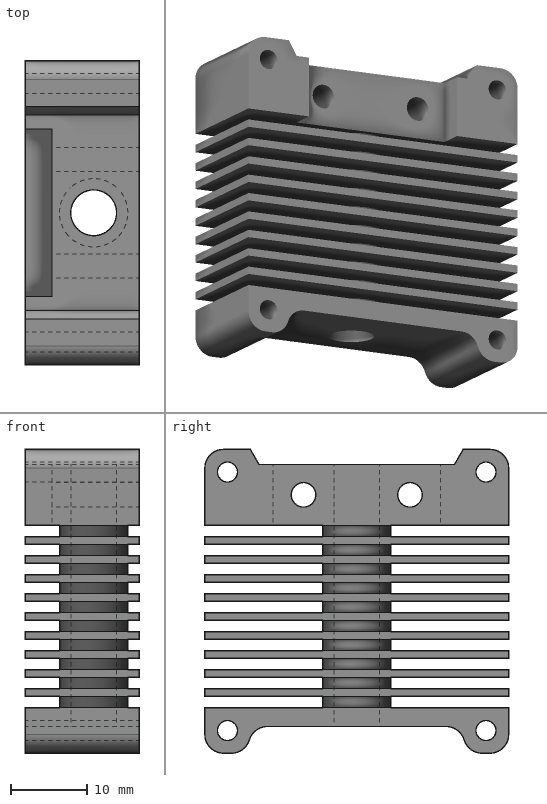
import cadquery as cq
import math

depth = 15.0
width = 40
height = 40

bottom_block_height = 6
top_block_height = 10
fin_count = 9
fin_thickness = 1.0

column_setback = 9.0
column_diameter = 9.0
bore_diameter = 6

corner_hole_inset = 3.0
corner_hole_diameter = 2.6

corner_diameter = 5.0

top_recess_depth = 2
top_lug_width = 6
lug_slope_angle = 60
pocket_width = 22
pocket_depth = 3.5
cross_hole_diameter = 3.2
cross_hole_spacing = 14
cross_hole_drop = 6

bottom_lug_width = 6
bottom_recess_height = 3.5

half_width = width / 2
column_x = column_setback - depth / 2
corner_radius = corner_diameter / 2
corner_diagonal = corner_radius * (1 - math.sqrt(0.5))
top_block_bottom = height - top_block_height
column_height = top_block_bottom - bottom_block_height
fin_gap = (column_height - fin_count * fin_thickness) / (fin_count + 1)
corner_hole_y = half_width - corner_hole_inset


def extrude_across_depth(profile):
    """Extrude a closed YZ profile symmetrically through the depth of the part."""
    return profile.extrude(depth / 2, both=True)


def holes_along_x(positions, diameter):
    """Cylinders running through the whole depth at the given (y, z) positions."""
    return extrude_across_depth(cq.Workplane("YZ").pushPoints(positions).circle(diameter / 2))


def make_top_block():
    """Block with two raised lugs, sloped on their inner sides, and a pocket in the -X face."""
    recess_z = height - top_recess_depth
    lug_inner_y = half_width - top_lug_width
    slope_foot_y = lug_inner_y - top_recess_depth / math.tan(math.radians(lug_slope_angle))
    half_profile = (
        cq.Workplane("YZ")
        .moveTo(0, top_block_bottom)
        .lineTo(half_width, top_block_bottom)
        .lineTo(half_width, height - corner_radius)
        .threePointArc(
            (half_width - corner_diagonal, height - corner_diagonal),
            (half_width - corner_radius, height),
        )
        .lineTo(lug_inner_y, height)
        .lineTo(slope_foot_y, recess_z)
        .lineTo(0, recess_z)
        .close()
    )
    half = extrude_across_depth(half_profile)
    block = half.union(half.mirror("XZ"))
    pocket = (
        cq.Workplane("XY", origin=(-depth / 2, 0, top_block_bottom))
        .box(pocket_depth, pocket_width, top_block_height, centered=(False, True, False))
    )
    return block.cut(pocket)


def make_bottom_block():
    """Block with two rounded lugs that blend tangentially into the raised underside."""
    lug_y = half_width - bottom_lug_width + corner_radius
    lug_z = corner_radius
    blend_z = bottom_recess_height - corner_radius
    centre_distance = 2 * corner_radius
    blend_y = lug_y - math.sqrt(centre_distance**2 - (lug_z - blend_z) ** 2)
    touch_point = ((lug_y + blend_y) / 2, (lug_z + blend_z) / 2)
    touch_angle = math.asin((lug_z - blend_z) / centre_distance)
    arc_mid_angle = (touch_angle + math.pi / 2) / 2
    mid_run = corner_radius * math.cos(arc_mid_angle)
    mid_rise = corner_radius * math.sin(arc_mid_angle)
    half_profile = (
        cq.Workplane("YZ")
        .moveTo(0, bottom_block_height)
        .lineTo(half_width, bottom_block_height)
        .lineTo(half_width, corner_radius)
        .threePointArc(
            (half_width - corner_diagonal, corner_diagonal),
            (half_width - corner_radius, 0),
        )
        .lineTo(lug_y, 0)
        .threePointArc((lug_y - mid_run, lug_z - mid_rise), touch_point)
        .threePointArc((blend_y + mid_run, blend_z + mid_rise), (blend_y, bottom_recess_height))
        .lineTo(0, bottom_recess_height)
        .close()
    )
    half = extrude_across_depth(half_profile)
    return half.union(half.mirror("XZ"))


def make_finned_column():
    """Round column between the blocks, carrying evenly spaced flat fins."""
    finned = (
        cq.Workplane("XY", origin=(column_x, 0, bottom_block_height))
        .circle(column_diameter / 2)
        .extrude(column_height)
    )
    for index in range(fin_count):
        fin_z = bottom_block_height + fin_gap + index * (fin_thickness + fin_gap)
        fin = cq.Workplane("XY", origin=(0, 0, fin_z)).rect(depth, width).extrude(fin_thickness)
        finned = finned.union(fin)
    return finned


corner_positions = [
    (y, z)
    for y in (-corner_hole_y, corner_hole_y)
    for z in (corner_hole_inset, height - corner_hole_inset)
]
cross_positions = [
    (side * cross_hole_spacing / 2, height - cross_hole_drop)
    for side in (-1, 1)
]
bore = cq.Workplane("XY", origin=(column_x, 0, 0)).circle(bore_diameter / 2).extrude(height)

result = (
    make_bottom_block()
    .union(make_finned_column())
    .union(make_top_block())
    .cut(bore)
    .cut(holes_along_x(corner_positions, corner_hole_diameter))
    .cut(holes_along_x(cross_positions, cross_hole_diameter))
)